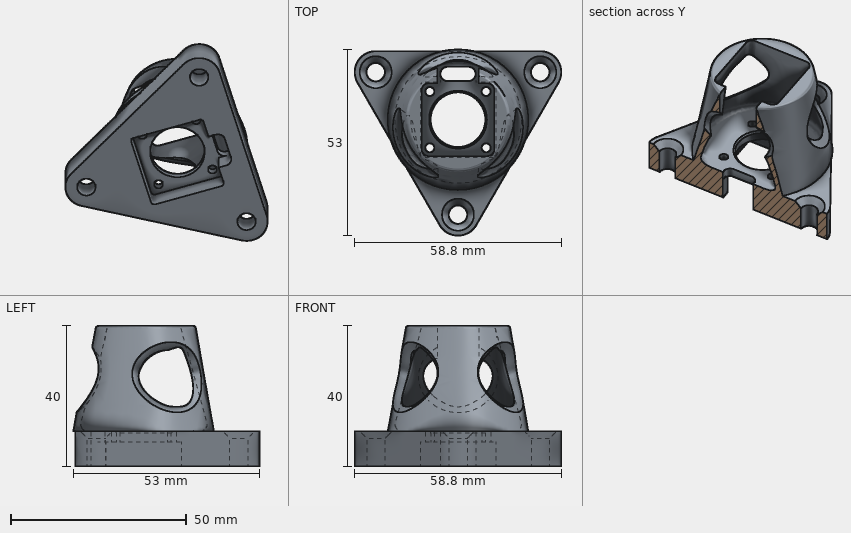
import cadquery as cq
import math

PLATE_HEIGHT = 10.0
SCREW_CIRCLE_RADIUS = 27.0
PLATE_CORNER_RADIUS = 6.0
SCREW_HOLE_DIAMETER = 5.2
COUNTERSINK_DIAMETER = 9.1
COUNTERSINK_ANGLE = 90.0
CORNER_ANGLES = (30.0, 150.0, 270.0)

TOTAL_HEIGHT = 40.0
HOUSING_BASE_RADIUS = 20.0
HOUSING_TOP_RADIUS = 14.75
RIM_FILLET = 1.0
HOUSING_SLOPE = (HOUSING_BASE_RADIUS - HOUSING_TOP_RADIUS) / (TOTAL_HEIGHT - PLATE_HEIGHT)

CAVITY_FLOOR_RADIUS = 18.6
CAVITY_TOP_SIDE = 20.7
CAVITY_TOP_CORNER_RADIUS = 2.0
CAVITY_FLOOR_FILLET = 2.0
NOTCH_WIDTH = 11.86

WINDOW_DIAMETER = 16.0
WINDOW_HEIGHT = 25.0
WINDOW_CHAMFER = 2.0
CHAMFER_INNER_DISTANCE = 10.8
CHAMFER_OUTER_DISTANCE = HOUSING_BASE_RADIUS + 0.5
CHAMFER_SECTION_POINTS = 48
WINDOW_ANGLES = (90.0, 210.0, 330.0)

LENS_HOLE_DIAMETER = 15.5
LENS_HOLE_CHAMFER = 0.5
PIN_HOLE_DIAMETER = 2.5
PIN_HOLE_SPACING = 16.0
CABLE_SLOT_LENGTH = 10.0
CABLE_SLOT_WIDTH = 4.0
CABLE_SLOT_OFFSET = 13.0

POCKET_SIDE = 21.5
POCKET_DEPTH = 7.0
POCKET_CORNER_RADIUS = 1.0
BAY_CORNER_RADIUS = CABLE_SLOT_WIDTH / 2


def polar_point(radius, angle):
    return (
        radius * math.cos(math.radians(angle)),
        radius * math.sin(math.radians(angle)),
    )


def make_plate():
    screw_points = [polar_point(SCREW_CIRCLE_RADIUS, angle) for angle in CORNER_ANGLES]
    outline = cq.Workplane("XY").polyline(screw_points).close().offset2D(PLATE_CORNER_RADIUS)
    plate = outline.extrude(PLATE_HEIGHT)
    return (
        plate.faces(">Z")
        .workplane(origin=(0, 0, PLATE_HEIGHT))
        .pushPoints(screw_points)
        .cskHole(SCREW_HOLE_DIAMETER, COUNTERSINK_DIAMETER, COUNTERSINK_ANGLE)
    )


def make_chamfer_section(radial_distance):
    """Closed section of the window chamfer on the plane x = radial_distance.

    A ball of radius WINDOW_CHAMFER rolled along the inside of the window edge touches the bore
    and the cone; the chamfer is the ruled surface through those two lines of contact.
    """
    taper = math.atan(HOUSING_SLOPE)
    bore_radius = WINDOW_DIAMETER / 2
    points = []
    turns = []
    for step in range(CHAMFER_SECTION_POINTS):
        turn = 2 * math.pi * step / CHAMFER_SECTION_POINTS
        center_y = (bore_radius + WINDOW_CHAMFER) * math.cos(turn)
        center_z = WINDOW_HEIGHT + (bore_radius + WINDOW_CHAMFER) * math.sin(turn)
        cone_radius = HOUSING_BASE_RADIUS - HOUSING_SLOPE * (center_z - PLATE_HEIGHT)
        center_radius = cone_radius - WINDOW_CHAMFER / math.cos(taper)
        center_x = math.sqrt(center_radius**2 - center_y**2)

        bore_y = bore_radius * math.cos(turn)
        bore_z = WINDOW_HEIGHT + bore_radius * math.sin(turn)
        reach = WINDOW_CHAMFER * math.cos(taper) / center_radius
        cone_x = center_x * (1 + reach)
        cone_y = center_y * (1 + reach)
        cone_z = center_z + WINDOW_CHAMFER * math.sin(taper)

        share = (radial_distance - center_x) / (cone_x - center_x)
        y = bore_y + share * (cone_y - bore_y)
        z = bore_z + share * (cone_z - bore_z)
        points.append(cq.Vector(radial_distance, y, z))
        turns.append(turn)
    turns.append(2 * math.pi)
    edge = cq.Edge.makeSpline(points, periodic=True, parameters=turns)
    return cq.Wire.assembleEdges([edge])


def make_window_cutter(angle):
    bore = cq.Workplane("YZ").center(0, WINDOW_HEIGHT).circle(WINDOW_DIAMETER / 2)
    bore = bore.extrude(CHAMFER_OUTER_DISTANCE)
    inner_section = make_chamfer_section(CHAMFER_INNER_DISTANCE)
    outer_section = make_chamfer_section(CHAMFER_OUTER_DISTANCE)
    flare = cq.Workplane(cq.Solid.makeLoft([inner_section, outer_section], True))
    return bore.union(flare).rotate((0, 0, 0), (0, 0, 1), angle)


def make_housing():
    profile = [
        (0, PLATE_HEIGHT),
        (HOUSING_BASE_RADIUS, PLATE_HEIGHT),
        (HOUSING_TOP_RADIUS, TOTAL_HEIGHT),
        (0, TOTAL_HEIGHT),
    ]
    housing = cq.Workplane("XZ").polyline(profile).close().revolve(360, (0, 0), (0, 1))
    housing = housing.faces(">Z").edges().fillet(RIM_FILLET)
    for angle in WINDOW_ANGLES:
        housing = housing.cut(make_window_cutter(angle))
    return housing


def make_cavity():
    floor_outline = cq.Sketch().circle(CAVITY_FLOOR_RADIUS)
    top_outline = cq.Sketch().rect(CAVITY_TOP_SIDE, CAVITY_TOP_SIDE)
    top_outline = top_outline.vertices().fillet(CAVITY_TOP_CORNER_RADIUS)
    rim_position = cq.Location(cq.Vector(0, 0, TOTAL_HEIGHT - PLATE_HEIGHT))
    return (
        cq.Workplane("XY", origin=(0, 0, PLATE_HEIGHT))
        .placeSketch(floor_outline, top_outline.moved(rim_position))
        .loft(ruled=True)
        .faces("<Z")
        .edges()
        .fillet(CAVITY_FLOOR_FILLET)
    )


def make_notch():
    return (
        cq.Workplane("XY", origin=(0, 0, WINDOW_HEIGHT))
        .center(0, HOUSING_BASE_RADIUS / 2)
        .rect(NOTCH_WIDTH, HOUSING_BASE_RADIUS)
        .extrude(TOTAL_HEIGHT - WINDOW_HEIGHT)
    )


def make_floor_openings():
    lens_hole = cq.Workplane("XY").circle(LENS_HOLE_DIAMETER / 2).extrude(PLATE_HEIGHT)
    lens_chamfer = (
        cq.Workplane("XY", origin=(0, 0, PLATE_HEIGHT))
        .circle(LENS_HOLE_DIAMETER / 2 + LENS_HOLE_CHAMFER)
        .workplane(offset=-LENS_HOLE_CHAMFER)
        .circle(LENS_HOLE_DIAMETER / 2)
        .loft()
    )
    pin_holes = (
        cq.Workplane("XY")
        .rect(PIN_HOLE_SPACING, PIN_HOLE_SPACING, forConstruction=True)
        .vertices()
        .circle(PIN_HOLE_DIAMETER / 2)
        .extrude(PLATE_HEIGHT)
    )
    cable_slot = (
        cq.Workplane("XY")
        .center(0, CABLE_SLOT_OFFSET)
        .slot2D(CABLE_SLOT_LENGTH, CABLE_SLOT_WIDTH)
        .extrude(PLATE_HEIGHT)
    )
    return lens_hole.union(lens_chamfer).union(pin_holes).union(cable_slot)


def make_pocket():
    square = cq.Workplane("XY").rect(POCKET_SIDE, POCKET_SIDE).extrude(POCKET_DEPTH)
    square = square.edges("|Z").fillet(POCKET_CORNER_RADIUS)
    bay_end = CABLE_SLOT_OFFSET + CABLE_SLOT_WIDTH / 2
    slot_bay = (
        cq.Workplane("XY")
        .center(0, bay_end / 2)
        .rect(CABLE_SLOT_LENGTH, bay_end)
        .extrude(POCKET_DEPTH)
        .edges("|Z and >Y")
        .fillet(BAY_CORNER_RADIUS)
    )
    return square.union(slot_bay)


result = (
    make_housing()
    .cut(make_cavity())
    .cut(make_notch())
    .union(make_plate())
    .cut(make_floor_openings())
    .cut(make_pocket())
)